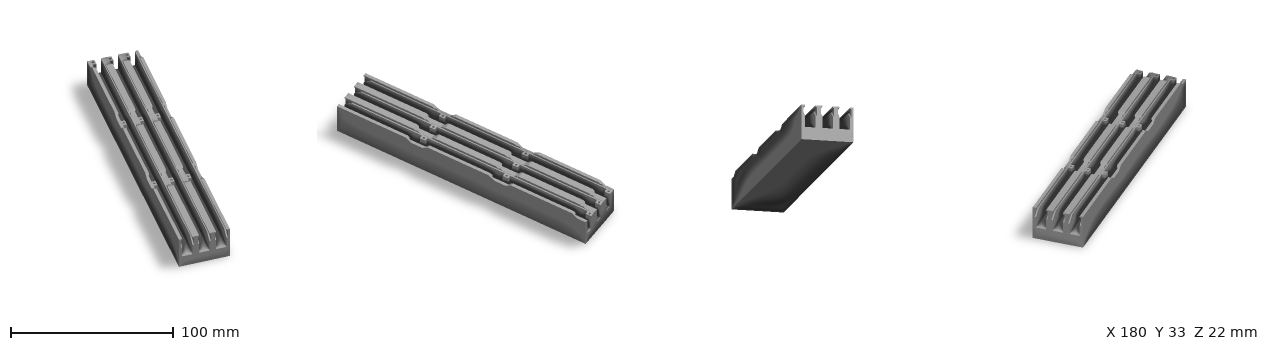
import cadquery as cq

length = 180.0
width = 33.0
height = 22.0

channel_count = 3
channel_pitch = width / channel_count
outer_wall = 2.2
channel_width = channel_pitch - 2 * outer_wall
floor_height = 8.0

groove_depth = 0.9
groove_bottom = 19.3
groove_top = 20.7
groove_slant = 0.4

lead_in_length = 5.0
lead_in_drop = 4.0

station_count = 3
station_pitch = length / station_count
post_length = 4.0
post_reach = 2.5
dip_floor = 19.5
dip_floor_length = 8.3
dip_top_length = 16.2
hole_diameter = 1.5
hole_offset = 1.0

station_centers = [post_length / 2 + i * station_pitch for i in range(station_count)]
channel_starts = [outer_wall + i * channel_pitch for i in range(channel_count)]


def channel_cutter(y_start):
    """Channel with a groove widening it below the rim on both sides."""
    y_end = y_start + channel_width
    profile = [
        (y_start, floor_height),
        (y_end, floor_height),
        (y_end, groove_bottom),
        (y_end + groove_depth, groove_bottom),
        (y_end + groove_depth, groove_top),
        (y_end, groove_top + groove_slant),
        (y_end, height),
        (y_start, height),
        (y_start, groove_top + groove_slant),
        (y_start - groove_depth, groove_top),
        (y_start - groove_depth, groove_bottom),
        (y_start, groove_bottom),
    ]
    return cq.Workplane("YZ").polyline(profile).close().extrude(length)


def lead_in_cutter(y_start):
    """Wedge below both grooves of a channel, opening toward the +X end."""
    profile = [
        (length - lead_in_length, groove_bottom),
        (length, groove_bottom - lead_in_drop),
        (length, groove_bottom),
    ]
    wedge_width = channel_width + 2 * groove_depth
    wedge = cq.Workplane("XZ").polyline(profile).close().extrude(-wedge_width)
    return wedge.translate((0, y_start - groove_depth, 0))


def dip_cutter(x_center):
    """Trapezoidal dip across the tops of all walls."""
    profile = [
        (x_center - dip_floor_length / 2, dip_floor),
        (x_center + dip_floor_length / 2, dip_floor),
        (x_center + dip_top_length / 2, height),
        (x_center - dip_top_length / 2, height),
    ]
    return cq.Workplane("XZ").polyline(profile).close().extrude(-width)


def screw_post(x_center, y_start):
    """Rectangular post on the channel floor, against the wall on the -Y side."""
    embed = outer_wall / 2
    post_height = groove_bottom - floor_height
    post = cq.Workplane("XY").box(post_length, post_reach + embed, post_height, centered=(True, False, False))
    return post.translate((x_center, y_start - embed, floor_height))


def screw_hole(x_center, y_start):
    """Vertical screw hole reaching down to the channel floor."""
    return (
        cq.Workplane("XY", origin=(x_center, y_start + hole_offset, floor_height))
        .circle(hole_diameter / 2)
        .extrude(height - floor_height)
    )


result = cq.Workplane("XY").box(length, width, height, centered=False)

for y_start in channel_starts:
    result = result.cut(channel_cutter(y_start))
    result = result.cut(lead_in_cutter(y_start))

for x_center in station_centers:
    result = result.cut(dip_cutter(x_center))

for x_center in station_centers:
    for y_start in channel_starts:
        result = result.union(screw_post(x_center, y_start))
        result = result.cut(screw_hole(x_center, y_start))